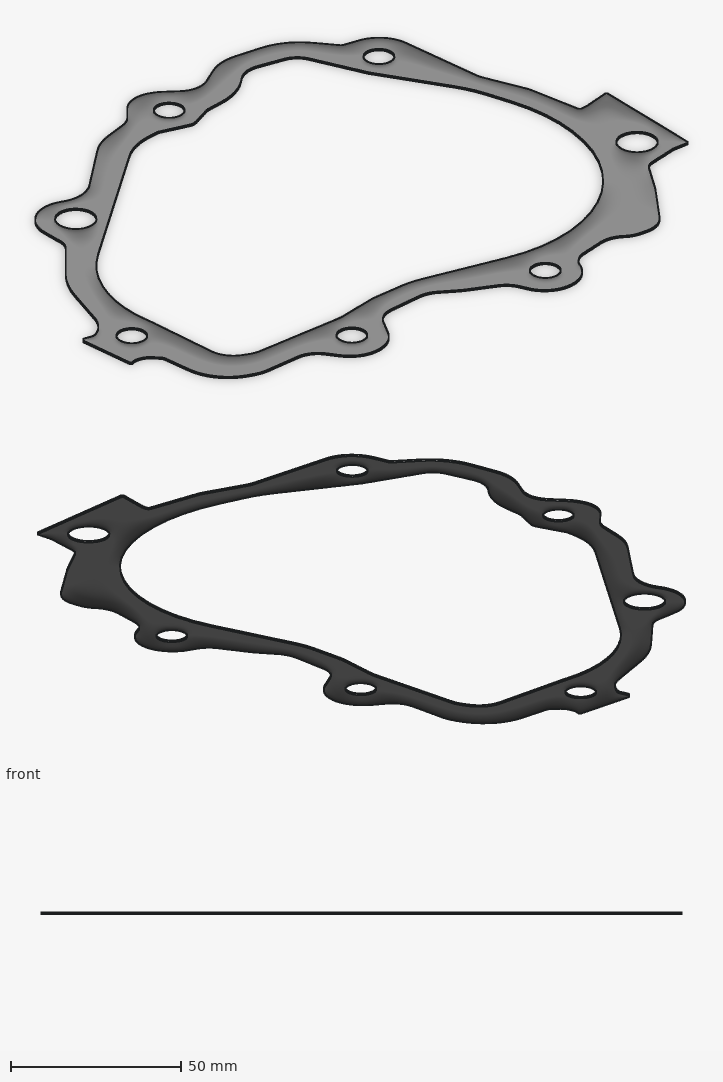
import cadquery as cq
import math

THICKNESS = 0.6
BOLT_HOLE_DIAMETER = 9.1
DOWEL_HOLE_DIAMETER = 12.2

DOWEL_X = -9.4
DOWEL_HOLES = [(DOWEL_X, 87.1), (DOWEL_X, -84.1)]
BOLT_HOLES = [
    (57.2, 40.6),
    (79.2, -24.5),
    (62.2, -86.9),
    (-64.5, -40.3),
    (-78.9, 27.7),
]

UPPER_DOWEL_TAB_RIGHT = [
    (-5.1, 101.6, 0.4),
    (-2.8, 96.4, 4.9),
    (4.5, 86.6, 4.3),
]
UPPER_RIGHT_SHOULDER = [
    (18.6, 84.9, 24.7),
    (40.6, 80.5, 9.2),
    (44.0, 71.2, 10.2),
    (42.8, 64.1, 9.6),
]
RIGHT_UPPER_LUG = [
    (52.7, 51.0, 7.5),
    (84.0, 53.2, 11.1),
    (62.0, 28.3, 9.0),
]
RIGHT_WAIST = [
    (61.9, 14.0, 24.0),
    (60.5, 3.6, 10.0),
]
RIGHT_LOWER_LUG = [
    (69.6, -13.2, 8.0),
    (99.0, -14.9, 11.5),
    (85.2, -39.0, 8.8),
]
LOWER_RIGHT_LOBE = [
    (93.6, -55.9, 13.5),
    (95.0, -70.6, 17.0),
]
LOWER_RIGHT_TAB = [
    (77.3, -81.5, 2.2),
    (74.7, -88.1, 6.0),
    (78.0, -91.5, 0.5),
    (60.4, -102.0, 1.0),
    (59.3, -97.3, 3.1),
]
BOTTOM_EDGE = [
    (53.5, -94.0, 13.0),
    (27.5, -97.5, 33.0),
]
LOWER_DOWEL_LUG = [
    (4.4, -91.0, 6.1),
    (-19.6, -102.4, 11.3),
    (-20.7, -77.7, 11.4),
]
LOWER_LEFT_LUG = [
    (-51.2, -65.4, 20.0),
    (-61.0, -54.1, 8.0),
    (-75.5, -50.1, 10.0),
    (-75.9, -40.7, 10.0),
    (-73.4, -28.2, 8.7),
]
LEFT_LOBE = [
    (-88.5, -18.5, 16.5),
    (-95.6, 3.5, 20.8),
]
UPPER_LEFT_LUG = [
    (-88.2, 19.0, 1.9),
    (-91.9, 33.0, 11.4),
]
UPPER_LEFT_EDGE = [
    (-59.5, 52.8, 9.5),
    (-48.2, 65.0, 7.1),
]
UPPER_DOWEL_TAB_LEFT = [
    (-32.6, 76.1, 1.1),
    (-34.0, 78.6, 3.6),
    (-40.1, 86.3, 0.4),
]
OUTER_CORNERS = (
    UPPER_DOWEL_TAB_RIGHT
    + UPPER_RIGHT_SHOULDER
    + RIGHT_UPPER_LUG
    + RIGHT_WAIST
    + RIGHT_LOWER_LUG
    + LOWER_RIGHT_LOBE
    + LOWER_RIGHT_TAB
    + BOTTOM_EDGE
    + LOWER_DOWEL_LUG
    + LOWER_LEFT_LUG
    + LEFT_LOBE
    + UPPER_LEFT_LUG
    + UPPER_LEFT_EDGE
    + UPPER_DOWEL_TAB_LEFT
)

WINDOW_TOP = [
    (-86.0, 4.5, 7.9),
    (-70.6, 22.2, 11.9),
    (-53.0, 48.7, 41.0),
    (-30.7, 68.9, 59.0),
    (36.7, 82.4, 51.8),
]
WINDOW_RIGHT = [
    (53.2, 0.7, 29.0),
    (59.8, -12.8, 9.1),
    (68.2, -24.7, 13.4),
    (82.0, -54.8, 10.2),
    (82.2, -64.2, 9.3),
]
WINDOW_BOTTOM = [
    (55.3, -79.5, 24.6),
    (34.3, -93.3, 43.5),
    (-47.9, -55.9, 22.0),
]
WINDOW_LEFT = [
    (-53.0, -46.8, 2.0),
    (-54.8, -35.4, 4.0),
    (-61.9, -29.4, 2.0),
    (-69.1, -17.8, 22.0),
    (-81.8, -12.9, 9.5),
]
WINDOW_CORNERS = WINDOW_TOP + WINDOW_RIGHT + WINDOW_BOTTOM + WINDOW_LEFT


def blend_arc(previous, corner, following):
    """Return the start, middle and end of the arc that rounds one corner."""
    x, y, radius = corner
    to_previous = cq.Vector(previous[0] - x, previous[1] - y).normalized()
    to_following = cq.Vector(following[0] - x, following[1] - y).normalized()
    half_angle = to_previous.getAngle(to_following) / 2
    setback = radius / math.tan(half_angle)
    apex_gap = radius / math.sin(half_angle) - radius

    apex = cq.Vector(x, y)
    bisector = (to_previous + to_following).normalized()
    start = apex + to_previous * setback
    middle = apex + bisector * apex_gap
    end = apex + to_following * setback
    return start, middle, end


def rounded_plate(corners):
    """Extrude the closed outline through the corners, each rounded to its radius."""
    followers = corners[1:] + corners[:1]
    leaders = corners[-1:] + corners[:-1]
    arcs = [blend_arc(*trio) for trio in zip(leaders, corners, followers)]

    first_start = arcs[0][0]
    outline = cq.Workplane("XY").moveTo(first_start.x, first_start.y)
    for index, (start, middle, end) in enumerate(arcs):
        if index > 0:
            outline = outline.lineTo(start.x, start.y)
        outline = outline.threePointArc(middle.toTuple()[:2], end.toTuple()[:2])
    return outline.close().extrude(THICKNESS)


def hole_pins(centers, diameter):
    """Return the cylinders that cut through holes of one diameter."""
    return cq.Workplane("XY").pushPoints(centers).circle(diameter / 2).extrude(THICKNESS)


gasket = rounded_plate(OUTER_CORNERS).cut(rounded_plate(WINDOW_CORNERS))
gasket = gasket.cut(hole_pins(DOWEL_HOLES, DOWEL_HOLE_DIAMETER))
result = gasket.cut(hole_pins(BOLT_HOLES, BOLT_HOLE_DIAMETER))